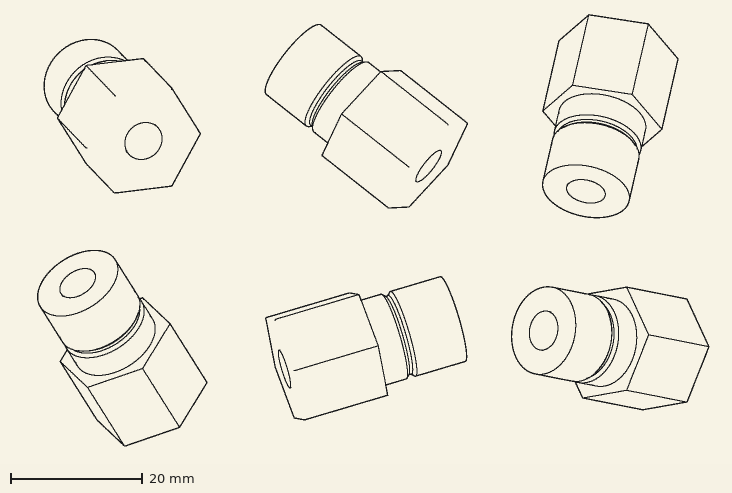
import cadquery as cq
import math

total_length = 27.0
spigot_length = 13.5
spigot_diameter = 13.5
bore_diameter = 6.0

hex_across_flats = 16.0
hex_across_corners = hex_across_flats / math.cos(math.radians(30))
hex_length = total_length - spigot_length
hex_end_fillet = 0.2

groove_start = 8.0
groove_width = 1.5
groove_depth = 0.5


def make_spigot():
    """Revolve the grooved cylindrical spigot about the X axis."""
    radius = spigot_diameter / 2
    groove_radius = radius - groove_depth
    groove_end = groove_start + groove_width
    profile = (
        cq.Workplane("XZ")
        .moveTo(0, 0)
        .lineTo(0, radius)
        .lineTo(groove_start, radius)
        .lineTo(groove_start + groove_depth, groove_radius)
        .lineTo(groove_end - groove_depth, groove_radius)
        .lineTo(groove_end, radius)
        .lineTo(spigot_length, radius)
        .lineTo(spigot_length, 0)
        .close()
    )
    return profile.revolve(360, (0, 0, 0), (1, 0, 0))


def make_hex_body():
    """Hexagonal prism with corners on the Y axis and its far end face edges rounded."""
    return (
        cq.Workplane("YZ", origin=(spigot_length, 0, 0))
        .polygon(6, hex_across_corners)
        .extrude(hex_length)
        .faces(">X")
        .fillet(hex_end_fillet)
    )


def make_bore():
    """Cylinder that opens the bore along the whole part."""
    return cq.Workplane("YZ").circle(bore_diameter / 2).extrude(total_length)


result = make_spigot().union(make_hex_body()).cut(make_bore())